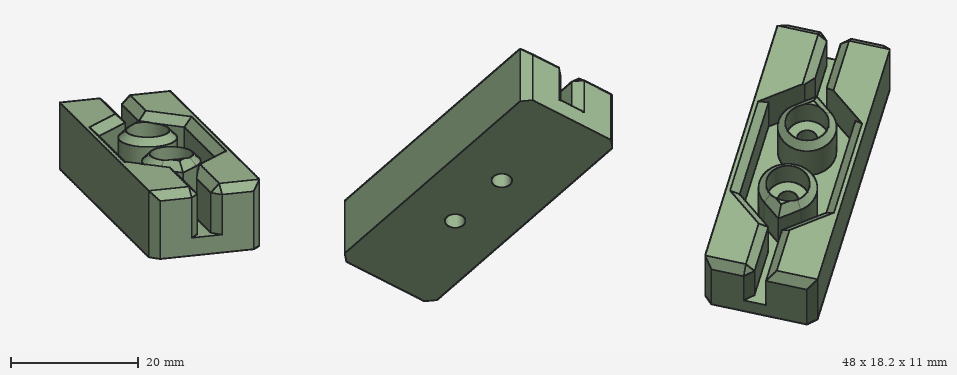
import cadquery as cq
import math

LENGTH, WIDTH, HEIGHT = 48.0, 18.2, 11.0
CHAMFER = 1.4
HALF_LENGTH = LENGTH / 2

FLOOR_Z = 3.0
SLOT_HALF = 1.1
POCKET_HALF = 7.0
POCKET_HALF_LENGTH = 9.0
TAPER_ANGLE = math.radians(50)
MOUTH_X = POCKET_HALF_LENGTH + (POCKET_HALF - SLOT_HALF) / math.tan(TAPER_ANGLE)

BOSS_X = 6.0
BOSS_RADIUS = 4.6
BORE_DIAMETER = 6.8
BORE_FLOOR_Z = 6.4
HOLE_DIAMETER = 3.2

PICK = 0.05


def pick_edge(x, y, z):
    """Selector for the edge whose midpoint is at the given place."""
    return cq.selectors.BoxSelector((x - PICK, y - PICK, z - PICK), (x + PICK, y + PICK, z + PICK))


def make_block():
    return cq.Workplane("XY").box(LENGTH, WIDTH, HEIGHT, centered=(True, True, False))


def make_channel():
    """Solid that fills the slot and the pocket."""
    upper = [
        (-HALF_LENGTH, SLOT_HALF),
        (-MOUTH_X, SLOT_HALF),
        (-POCKET_HALF_LENGTH, POCKET_HALF),
        (POCKET_HALF_LENGTH, POCKET_HALF),
        (MOUTH_X, SLOT_HALF),
        (HALF_LENGTH, SLOT_HALF),
    ]
    lower = [(x, -y) for x, y in reversed(upper)]
    channel = cq.Workplane("XY").workplane(offset=FLOOR_Z).polyline(upper + lower).close()
    return channel.extrude(HEIGHT - FLOOR_Z)


def chamfer_body(body):
    """Chamfer the block ends and the channel.

    Left sharp are the +X tapers, three of the mouth corners and one slot end.
    """
    slot_mid_x = (HALF_LENGTH + MOUTH_X) / 2
    taper_mid_x = (MOUTH_X + POCKET_HALF_LENGTH) / 2
    taper_mid_y = (SLOT_HALF + POCKET_HALF) / 2
    end_mid_y = (SLOT_HALF + WIDTH / 2) / 2
    channel_mid_z = (FLOOR_Z + HEIGHT) / 2
    places = [
        (MOUTH_X, SLOT_HALF, channel_mid_z),
        (-HALF_LENGTH, SLOT_HALF, channel_mid_z),
        (HALF_LENGTH, SLOT_HALF, channel_mid_z),
        (HALF_LENGTH, -SLOT_HALF, channel_mid_z),
    ]
    for side in (1, -1):
        places.append((-taper_mid_x, side * taper_mid_y, HEIGHT))
        places.append((0, side * POCKET_HALF, HEIGHT))
        for end in (1, -1):
            places.append((end * slot_mid_x, side * SLOT_HALF, HEIGHT))
            places.append((end * HALF_LENGTH, side * end_mid_y, HEIGHT))
            places.append((end * HALF_LENGTH, side * WIDTH / 2, HEIGHT / 2))
    selector = pick_edge(*places[0])
    for place in places[1:]:
        selector = selector + pick_edge(*place)
    return body.edges(selector).chamfer(CHAMFER)


def make_boss(direction):
    """Teardrop boss with its point facing +X (direction 1) or -X (direction -1)."""
    tip_x = direction * (BOSS_X + BOSS_RADIUS / math.sin(TAPER_ANGLE))
    tangent_x = direction * (BOSS_X + BOSS_RADIUS * math.sin(TAPER_ANGLE))
    tangent_y = BOSS_RADIUS * math.cos(TAPER_ANGLE)
    back_x = direction * (BOSS_X - BOSS_RADIUS)
    boss = (
        cq.Workplane("XY")
        .workplane(offset=FLOOR_Z)
        .moveTo(tip_x, 0)
        .lineTo(tangent_x, tangent_y)
        .threePointArc((back_x, 0), (tangent_x, -tangent_y))
        .close()
        .extrude(HEIGHT - FLOOR_Z)
    )
    return boss.faces(">Z").edges().chamfer(CHAMFER)


def make_bore(direction):
    """Through hole and wide bore of one boss."""
    centre_x = direction * BOSS_X
    hole = cq.Workplane("XY").center(centre_x, 0).circle(HOLE_DIAMETER / 2).extrude(HEIGHT)
    bore = cq.Workplane("XY").workplane(offset=BORE_FLOOR_Z).center(centre_x, 0)
    return hole.union(bore.circle(BORE_DIAMETER / 2).extrude(HEIGHT - BORE_FLOOR_Z))


result = chamfer_body(make_block().cut(make_channel()))
for direction in (1, -1):
    result = result.union(make_boss(direction)).cut(make_bore(direction))